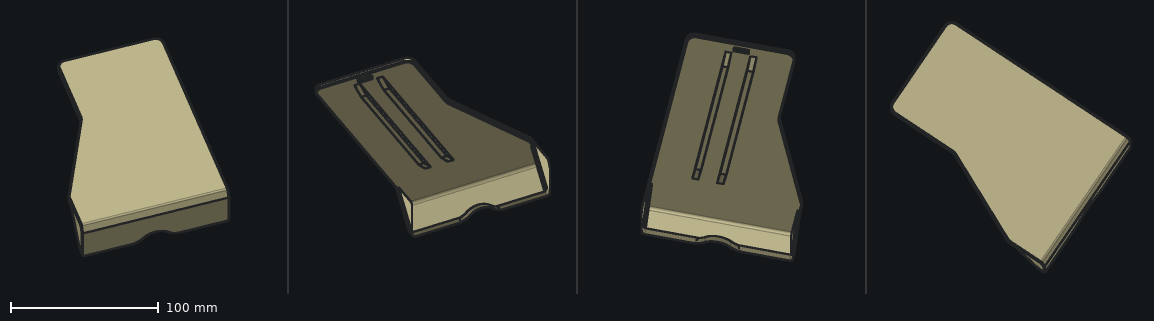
import cadquery as cq
import math

length = 148.0
width = 105.0
height = 29.3
back_y = width / 2
front_y = -width / 2

plate_thickness = 3.8
narrow_width = 75.0
taper_start_x = 54.0
taper_end_x = 118.3
corner_radius = 5.9
edge_break = 0.7

gusset_thickness = 2.2
inner_fillet = 2.0
gusset_start_x = 123.5
foot_x = 143.3
foot_z = -28.7
bevel_run = 2.8
bevel_drop = 5.8
ridge_radius = 1.5
foot_corner_radius = 2.5

notch_width = 35.5
notch_depth = 6.8

rib_positions = ((3.3, 7.5), (20.7, 24.7))
rib_start_x = 8.0
rib_end_x = 113.2
rib_run = 9.9
rib_bottom_z = -7.1

hook_y = (9.5, 19.8)
hook_start_x = 3.3
hook_end_x = 5.3
hook_bottom_z = -5.5
hook_slope = 0.9

margin = 0.1


def prism_along_y(points, y_start, y_end):
    """Extrude an XZ polygon from y_start to y_end."""
    profile = cq.Workplane("XZ", origin=(0, y_start, 0)).polyline(points).close()
    return profile.extrude(y_start - y_end)


def edge_zone(x_range, z_range):
    """Selector for edges whose centre lies in the given X and Z ranges, at any Y."""
    return cq.selectors.BoxSelector(
        (x_range[0] - margin / 2, front_y - margin, z_range[0] - margin / 2),
        (x_range[1] + margin / 2, back_y + margin, z_range[1] + margin / 2),
    )


def make_outline():
    """Full-height block with the plan shape of the plate and rounded corners."""
    narrow_y = back_y - narrow_width
    block = (
        cq.Workplane("XY")
        .polyline([
            (0, back_y),
            (length, back_y),
            (length, front_y),
            (taper_end_x, front_y),
            (taper_start_x, narrow_y),
            (0, narrow_y),
        ])
        .close()
        .extrude(-height)
    )
    return block.edges("|Z").edges("not >X").fillet(corner_radius)


def make_body():
    """Plate and solid leg in one piece, with rounded foot corners and chamfered edges."""
    side_profile = prism_along_y(
        [
            (0, 0),
            (length - bevel_run, 0),
            (length, -bevel_drop),
            (length, -height),
            (foot_x, foot_z),
            (gusset_start_x, -plate_thickness),
            (0, -plate_thickness),
        ],
        front_y,
        back_y,
    )
    side_profile = side_profile.faces(">Z").edges(">X").fillet(ridge_radius)
    body = make_outline().intersect(side_profile)

    top_rim = body.faces(">Z").edges("not >X")
    outer_sides = body.edges(edge_zone((length - bevel_run, length), (foot_z, -margin))).edges("not |Y")
    body = top_rim.add(outer_sides).chamfer(edge_break)

    lower_rim = edge_zone((0, gusset_start_x - margin), (-plate_thickness, -plate_thickness))
    slanted_rim = edge_zone((gusset_start_x + margin, foot_x - margin), (foot_z, -plate_thickness))
    body = body.edges(lower_rim + slanted_rim).chamfer(edge_break)

    foot_edges = body.edges(edge_zone((foot_x, length), (-height, foot_z))).edges("not |Y")
    return foot_edges.edges("<Y or >Y").fillet(foot_corner_radius)


def make_leg_cavity():
    """Space between the gussets, with a fillet where the plate meets the leg wall."""
    half_opening = width / 2 - gusset_thickness
    cavity = prism_along_y(
        [
            (foot_x, -height),
            (foot_x, -plate_thickness),
            (gusset_start_x, -plate_thickness),
            (gusset_start_x, -height),
        ],
        -half_opening,
        half_opening,
    )
    return cavity.edges("|Y and >X and >Z").fillet(inner_fillet)


def make_finger_notch():
    """Bell-shaped cutter: a crown arc blended into the lower edge by two equal flank arcs."""
    half_width = notch_width / 2
    radius = (half_width**2 + notch_depth**2) / (4 * notch_depth)
    sweep = math.asin(half_width / 2 / radius)
    along = radius * math.sin(sweep / 2)
    sag = radius * (1 - math.cos(sweep / 2))
    crown_z = -height + notch_depth
    blend_z = -height + notch_depth / 2
    return (
        cq.Workplane("YZ", origin=(foot_x, 0, 0))
        .moveTo(-half_width, -height)
        .threePointArc((-half_width + along, -height + sag), (-half_width / 2, blend_z))
        .threePointArc((0, crown_z), (half_width / 2, blend_z))
        .threePointArc((half_width - along, -height + sag), (half_width, -height))
        .close()
        .extrude(length - foot_x)
    )


def make_ribs():
    """Two parallel ribs with ramped ends."""
    profile = [
        (rib_start_x, -plate_thickness),
        (rib_start_x + rib_run, rib_bottom_z),
        (rib_end_x - rib_run, rib_bottom_z),
        (rib_end_x, -plate_thickness),
    ]
    ribs = cq.Workplane("XY")
    for y_start, y_end in rib_positions:
        ribs = ribs.add(prism_along_y(profile, y_start, y_end))
    return ribs.combine()


def make_hook():
    """Low lip beneath the narrow end, with a sloped lead-in."""
    return prism_along_y(
        [
            (hook_start_x, -plate_thickness),
            (hook_start_x, hook_bottom_z + hook_slope),
            (hook_start_x + hook_slope, hook_bottom_z),
            (hook_end_x, hook_bottom_z),
            (hook_end_x, -plate_thickness),
        ],
        *hook_y,
    )


result = (
    make_body()
    .cut(make_leg_cavity())
    .cut(make_finger_notch())
    .union(make_ribs())
    .union(make_hook())
)